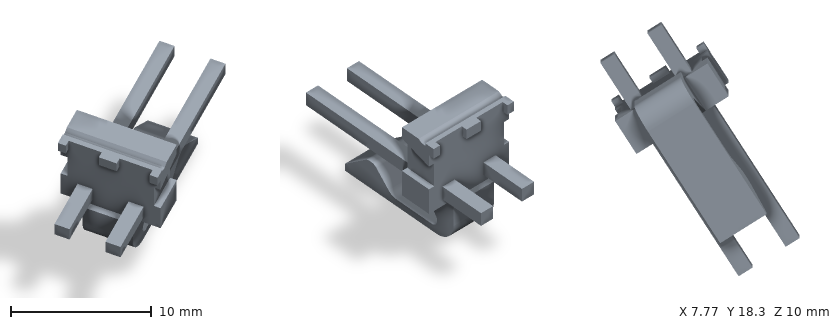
import cadquery as cq

body_width = 7.77
body_depth = 2.82
body_height = 6.3

recess_depth = 0.51
recess_bottom = 2.27
recess_top_front = 4.37
recess_top_back = 5.27

groove_front = 0.38
groove_floor_back = 0.73
groove_back = 1.08
groove_depth = 0.22

lug_projection = 0.5
lug_height = 0.88
corner_lug_width = 0.62
middle_lug_width = 1.39

pin_size = 1.17
pin_pitch = 3.97
pin_length = 18.29
pin_front = -4.02
pin_center_z = 1.19

latch_width = 3.91
latch_bottom = -3.71
arm_thickness = 0.62
arm_top = latch_bottom + arm_thickness
latch_tip = 10.86
ridge_back = 8.5
ridge_front = 7.8
ridge_z = -1.25
valley_y = 5.95
throat_y = 0.65
heel_radius = 1.8
ridge_radius = 0.65
valley_radius = 1.19
throat_radius = 0.6


def side_profile(points, width, center_x=0):
    """Extrude a closed (Y, Z) outline along X, centred on center_x."""
    outline = cq.Workplane("YZ", origin=(center_x, 0, 0)).polyline(points).close()
    return outline.extrude(width / 2, both=True)


def round_edge(solid, y, z, radius):
    """Round the edge parallel to X that passes through (y, z)."""
    return solid.edges(cq.selectors.NearestToPointSelector((0, y, z))).fillet(radius)


def make_body():
    body = side_profile(
        [
            (0, 0),
            (body_depth, 0),
            (body_depth, body_height),
            (groove_back, body_height),
            (groove_floor_back, body_height - groove_depth),
            (groove_front, body_height - groove_depth),
            (groove_front, body_height),
            (0, body_height),
        ],
        body_width,
    )
    recess_outline = [
        (0, recess_bottom),
        (body_depth, recess_bottom),
        (body_depth, recess_top_back),
        (0, recess_top_front),
    ]
    for side in (-1, 1):
        body = body.cut(side_profile(recess_outline, 2 * recess_depth, side * body_width / 2))
    return body


def make_lug(center_x, width):
    return cq.Workplane("XY").box(width, lug_projection, lug_height).translate(
        (center_x, -lug_projection / 2, body_height - lug_height / 2)
    )


def make_pin(center_x):
    return cq.Workplane("XY").box(pin_size, pin_length, pin_size).translate(
        (center_x, pin_front + pin_length / 2, pin_center_z)
    )


def make_latch():
    latch = side_profile(
        [
            (body_depth, 0),
            (-lug_projection, 0),
            (-lug_projection, latch_bottom),
            (latch_tip, latch_bottom),
            (latch_tip, arm_top),
            (ridge_back, ridge_z),
            (ridge_front, ridge_z),
            (valley_y, arm_top),
            (throat_y, arm_top),
        ],
        latch_width,
    )
    latch = round_edge(latch, -lug_projection, latch_bottom, heel_radius)
    latch = round_edge(latch, ridge_back, ridge_z, ridge_radius)
    latch = round_edge(latch, ridge_front, ridge_z, ridge_radius)
    latch = round_edge(latch, valley_y, arm_top, valley_radius)
    return round_edge(latch, throat_y, arm_top, throat_radius)


result = make_body().union(make_latch()).union(make_lug(0, middle_lug_width))
for side in (-1, 1):
    corner_lug_x = side * (body_width - corner_lug_width) / 2
    result = result.union(make_lug(corner_lug_x, corner_lug_width))
    result = result.union(make_pin(side * pin_pitch / 2))